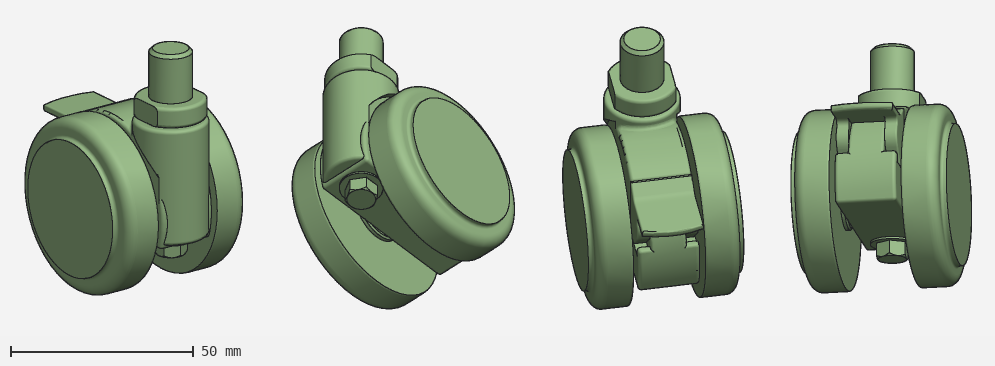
import cadquery as cq
import math


WHEEL_R = 25.0
WHEEL_INNER_Y = 10.0
WHEEL_OUTER_Y = 20.0
SHOULDER_R = 3.0
INNER_RIM_WIDTH = 0.5
INNER_RIM_DEPTH = 0.15
CAP_R = 19.5
CAP_Y = 21.6
CAP_COVE_R = 0.9
HUB_R = 8.3
HUB_CHAMFER = 0.5

DRUM_R = 24.9
DRUM_WIDTH = 17.05
DRUM_BOTTOM_Z = -7.7
EDGE_R = 1.0
NECK_R = 10.5
NECK_TOP_Z = 27.0
NECK_BOTTOM_Z = -6.6
WHEEL_CLEARANCE_R = 26.6
TONGUE_WIDTH = 10.0
TONGUE_EDGE_R = 0.9
POCKET_WALL_X = -11.9
LEDGE_Z = 6.5
LEDGE_BACK_X = -22.1
POCKET_FLOOR_Z = 3.6
POCKET_LIP_R = 1.0
NECK_BLEND_R = 1.0

STEM_X = 17.0
STEM_R = 6.0
STEM_TOP_Z = 47.5
STEM_END_Z = -8.3
STEM_CHAMFER = 1.0
COLLAR_R = 10.0
COLLAR_FLATS = 17.0
COLLAR_BOTTOM_Z = 27.55
COLLAR_TOP_Z = 33.4
COLLAR_EDGE_R = 1.0
FLANGE_R = 7.55
HEX_FLATS = 8.0
HEX_END_Z = -12.5
HEX_CHAMFER = 0.65

PLATE_TOP_Z = 18.5
PLATE_BOTTOM_Z = 16.45
PLATE_TIP_X = -31.2
PLATE_TIP_ARC_R = 28.3
RAMP_FOOT_X = -16.8
RAMP_TOP_X = -12.5
RAMP_TOP_Z = 21.7
RAMP_BLEND_R = 3.8
LEG_BLEND_R = 1.45
NOSE_R = 4.85
NOSE_X = -22.55
NOSE_Z = 11.6
TOE_ANGLE = math.radians(43)
LEVER_EDGE_R = 0.5
TIP_UNDERSIDE_R = 1.0


def slab(width, profile):
    """Extrude an XZ profile symmetrically about the plane y = 0."""
    return profile.extrude(width / 2, both=True)


def edge_box(x_range, width, z_range):
    """Selector for the edges centred in a box that is symmetric about the plane y = 0."""
    low = (x_range[0], -width / 2, z_range[0])
    high = (x_range[1], width / 2, z_range[1])
    return cq.selectors.BoxSelector(low, high)


def make_wheel(side):
    """Wheel on the +Y (side = 1) or -Y (side = -1) end of the axle."""
    shoulder_mid = SHOULDER_R * math.sqrt(0.5)
    cove_mid = CAP_COVE_R * (1 - math.sqrt(0.5))
    profile = (
        cq.Workplane("XY")
        .moveTo(0, DRUM_WIDTH / 2)
        .lineTo(HUB_R - HUB_CHAMFER, DRUM_WIDTH / 2)
        .lineTo(HUB_R, DRUM_WIDTH / 2 + HUB_CHAMFER)
        .lineTo(HUB_R, WHEEL_INNER_Y)
        .lineTo(WHEEL_R - INNER_RIM_DEPTH, WHEEL_INNER_Y)
        .lineTo(WHEEL_R, WHEEL_INNER_Y + INNER_RIM_WIDTH)
        .lineTo(WHEEL_R, WHEEL_OUTER_Y - SHOULDER_R)
        .threePointArc(
            (WHEEL_R - SHOULDER_R + shoulder_mid, WHEEL_OUTER_Y - SHOULDER_R + shoulder_mid),
            (WHEEL_R - SHOULDER_R, WHEEL_OUTER_Y),
        )
        .lineTo(CAP_R + CAP_COVE_R, WHEEL_OUTER_Y)
        .threePointArc(
            (CAP_R + cove_mid, WHEEL_OUTER_Y + cove_mid),
            (CAP_R, WHEEL_OUTER_Y + CAP_COVE_R),
        )
        .lineTo(CAP_R, CAP_Y)
        .lineTo(0, CAP_Y)
        .close()
    )
    wheel = profile.revolve(360, (0, 0, 0), (0, 1, 0))
    return wheel if side > 0 else wheel.mirror("XZ")


def make_drum():
    """Drum between the wheels, flat at the bottom and rounded on every edge."""
    drum = slab(DRUM_WIDTH, cq.Workplane("XZ").circle(DRUM_R))
    above_bottom = (
        cq.Workplane("XY").workplane(offset=DRUM_BOTTOM_Z)
        .rect(3 * DRUM_R, 2 * DRUM_WIDTH).extrude(DRUM_R - DRUM_BOTTOM_Z)
    )
    return drum.intersect(above_bottom).edges().fillet(EDGE_R)


def make_neck():
    """Upright swivel tube, cut back where it would meet the wheels."""
    neck = (
        cq.Workplane("XY").workplane(offset=NECK_BOTTOM_Z).center(STEM_X, 0)
        .circle(NECK_R).extrude(NECK_TOP_Z - NECK_BOTTOM_Z).faces("<Z or >Z").edges().fillet(EDGE_R)
    )
    clearance = slab(4 * NECK_R, cq.Workplane("XZ").circle(WHEEL_CLEARANCE_R))
    clearance = clearance.cut(slab(DRUM_WIDTH, cq.Workplane("XZ").circle(2 * WHEEL_CLEARANCE_R)))
    return neck.cut(clearance)


def make_tongue_space():
    """Upright slab between the two lever legs, up to the underside of the plate."""
    outline = (
        cq.Workplane("XZ")
        .moveTo(-2 * DRUM_R, POCKET_FLOOR_Z)
        .lineTo(POCKET_WALL_X, POCKET_FLOOR_Z)
        .lineTo(POCKET_WALL_X, PLATE_BOTTOM_Z)
        .lineTo(-2 * DRUM_R, PLATE_BOTTOM_Z)
        .close()
    )
    return slab(TONGUE_WIDTH, outline)


def make_pocket(front_x, floor_z):
    """Space around the tongue, from the pocket wall forward to front_x and upward from floor_z."""
    outline = (
        cq.Workplane("XZ")
        .moveTo(front_x, floor_z)
        .lineTo(POCKET_WALL_X, floor_z)
        .lineTo(POCKET_WALL_X, 2 * DRUM_R)
        .lineTo(front_x, 2 * DRUM_R)
        .close()
    )
    return slab(2 * DRUM_WIDTH, outline).cut(make_tongue_space())


def make_housing():
    """Drum and neck with the lever pocket and the bore for the stem."""
    housing = make_drum().union(make_neck())
    neck_joint = edge_box((0, STEM_X - NECK_R / 2), DRUM_WIDTH, (0.8 * DRUM_R, DRUM_R))
    housing = housing.edges(neck_joint).edges("not |Z").fillet(NECK_BLEND_R)
    housing = housing.cut(make_pocket(-2 * DRUM_R, LEDGE_Z))
    front_edges = edge_box((-DRUM_R, -0.8 * DRUM_R), DRUM_WIDTH, (LEDGE_Z - 0.7, PLATE_BOTTOM_Z - 0.7))
    housing = housing.edges(front_edges).fillet(TONGUE_EDGE_R)
    housing = housing.cut(make_pocket(LEDGE_BACK_X, POCKET_FLOOR_Z))
    pocket_lip = edge_box((POCKET_WALL_X - 0.7, POCKET_WALL_X + 0.7), DRUM_WIDTH, (PLATE_TOP_Z, DRUM_R))
    housing = housing.edges(pocket_lip).fillet(POCKET_LIP_R)
    stem_hole = (
        cq.Workplane("XY").workplane(offset=DRUM_BOTTOM_Z - 0.7).center(STEM_X, 0)
        .circle(STEM_R).extrude(2 * STEM_TOP_Z)
    )
    return housing.cut(stem_hole)


def make_stem():
    """Stem, collar, thrust flange and hexagonal lower end in one turned piece."""
    axis = cq.Workplane("XY").center(STEM_X, 0)
    shaft = (
        axis.workplane(offset=STEM_END_Z).circle(STEM_R).extrude(STEM_TOP_Z - STEM_END_Z)
        .faces(">Z").edges().chamfer(STEM_CHAMFER)
    )
    collar = (
        axis.workplane(offset=COLLAR_BOTTOM_Z).circle(COLLAR_R).extrude(COLLAR_TOP_Z - COLLAR_BOTTOM_Z)
        .edges().fillet(COLLAR_EDGE_R)
    )
    collar = collar.intersect(
        axis.workplane(offset=COLLAR_BOTTOM_Z).rect(3 * COLLAR_R, COLLAR_FLATS).extrude(COLLAR_TOP_Z)
    )
    flange = axis.workplane(offset=NECK_TOP_Z).circle(FLANGE_R).extrude(COLLAR_BOTTOM_Z - NECK_TOP_Z)
    hex_corner_r = HEX_FLATS / math.sqrt(3)
    hex_end = axis.workplane(offset=HEX_END_Z).polygon(6, 2 * hex_corner_r).extrude(STEM_END_Z - HEX_END_Z)
    hex_end = hex_end.intersect(
        axis.workplane(offset=HEX_END_Z).circle(hex_corner_r).extrude(STEM_END_Z - HEX_END_Z)
        .faces("<Z").edges().chamfer(HEX_CHAMFER)
    )
    return shaft.union(collar).union(flange).union(hex_end)


def make_tip_envelope():
    """Large disc with a rounded rim that gives the plate its bowed tip, on a core that clears the legs."""
    axis = cq.Workplane("XY").center(PLATE_TIP_X + PLATE_TIP_ARC_R, 0)
    disc = (
        axis.workplane(offset=PLATE_BOTTOM_Z).circle(PLATE_TIP_ARC_R).extrude(PLATE_TOP_Z - PLATE_BOTTOM_Z)
        .faces("<Z").edges().fillet(TIP_UNDERSIDE_R)
        .faces(">Z").edges().fillet(LEVER_EDGE_R)
    )
    return disc.union(axis.circle(PLATE_TIP_ARC_R - 2 * TIP_UNDERSIDE_R).extrude(2 * DRUM_R))


def make_lever():
    """Brake lever: a flat pedal plate, a ramp up to the drum and two legs astride the tongue."""
    nose_center_x = NOSE_X + NOSE_R
    blend_center_z = PLATE_BOTTOM_Z - LEG_BLEND_R
    join_angle = math.asin((blend_center_z - NOSE_Z) / (NOSE_R + LEG_BLEND_R))
    blend_center_x = nose_center_x - (NOSE_R + LEG_BLEND_R) * math.cos(join_angle)
    join = (nose_center_x - NOSE_R * math.cos(join_angle), NOSE_Z + NOSE_R * math.sin(join_angle))
    blend_mid_angle = (math.pi / 2 - join_angle) / 2
    nose_bottom_x = nose_center_x - NOSE_R * math.cos(TOE_ANGLE)
    nose_bottom_z = NOSE_Z - NOSE_R * math.sin(TOE_ANGLE)
    toe_x = nose_bottom_x + (nose_bottom_z - POCKET_FLOOR_Z) * math.tan(TOE_ANGLE)
    profile = (
        cq.Workplane("XZ")
        .moveTo(PLATE_TIP_X, PLATE_TOP_Z)
        .lineTo(RAMP_FOOT_X, PLATE_TOP_Z)
        .lineTo(RAMP_TOP_X, RAMP_TOP_Z)
        .lineTo(POCKET_WALL_X, RAMP_TOP_Z)
        .lineTo(POCKET_WALL_X, POCKET_FLOOR_Z)
        .lineTo(toe_x, POCKET_FLOOR_Z)
        .lineTo(nose_bottom_x, nose_bottom_z)
        .threePointArc((NOSE_X, NOSE_Z), join)
        .threePointArc(
            (
                blend_center_x + LEG_BLEND_R * math.cos(blend_mid_angle),
                blend_center_z + LEG_BLEND_R * math.sin(blend_mid_angle),
            ),
            (blend_center_x, PLATE_BOTTOM_Z),
        )
        .lineTo(PLATE_TIP_X, PLATE_BOTTOM_Z)
        .close()
    )
    lever = slab(DRUM_WIDTH, profile)
    ramp_foot = cq.selectors.NearestToPointSelector((RAMP_FOOT_X, 0, PLATE_TOP_Z))
    lever = lever.edges(ramp_foot).fillet(RAMP_BLEND_R)
    lever = lever.faces("<Y or >Y").edges("%CIRCLE").fillet(LEVER_EDGE_R)
    return lever.intersect(make_tip_envelope()).cut(make_tongue_space())


housing = make_housing()
stem = make_stem()
lever = make_lever()
wheels = [make_wheel(side) for side in (-1, 1)]
result = cq.Compound.makeCompound([housing.val(), stem.val(), lever.val(), *[w.val() for w in wheels]])